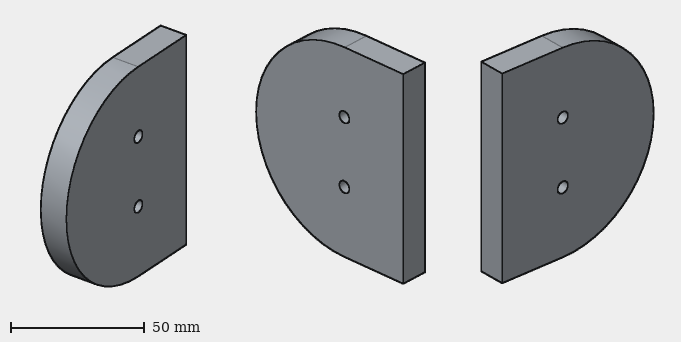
import cadquery as cq

height = 90.0
thickness = 12.0
straight_length = 30.0
hole_diameter = 5.0
hole_spacing = 30.0

end_radius = height / 2

plate = (
    cq.Workplane("YZ")
    .moveTo(straight_length, -end_radius)
    .lineTo(0, -end_radius)
    .threePointArc((-end_radius, 0), (0, end_radius))
    .lineTo(straight_length, end_radius)
    .close()
    .extrude(thickness)
)

holes = (
    cq.Workplane("YZ")
    .pushPoints([(0, -hole_spacing / 2), (0, hole_spacing / 2)])
    .circle(hole_diameter / 2)
    .extrude(thickness)
)

result = plate.cut(holes)